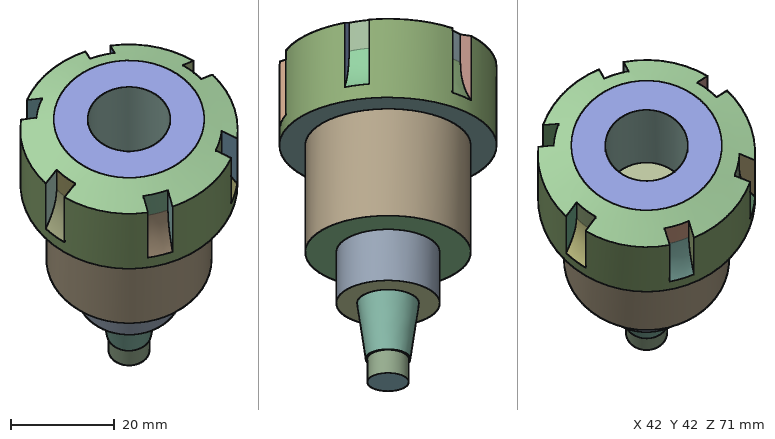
import cadquery as cq
import math

tip_diameter = 8.0
tip_height = 5.0
taper_small_diameter = 8.65
taper_large_diameter = 12.0
taper_height = 12.0
neck_diameter = 20.0
neck_height = 11.0
body_diameter = 32.0
body_height = 23.0

total_height = 71.0
nut_diameter = 42.0
nut_face_diameter = 29.1
nut_bevel_height = 3.05
bore_diameter = 16.0

slot_count = 6
slot_width = 5.0
slot_floor_radius = 17.95
slot_straight_depth = 7.7
slot_end_depth = 17.0
first_slot_angle = 7.5

taper_bottom = tip_height
neck_bottom = taper_bottom + taper_height
body_bottom = neck_bottom + neck_height
nut_bottom = body_bottom + body_height
nut_radius = nut_diameter / 2
bore_depth = total_height - nut_bottom
slot_outer_radius = nut_radius + 0.7


def make_body():
    """Revolve the stepped outline about the Z axis."""
    bevel_bottom = total_height - nut_bevel_height
    outline = [
        (0, 0),
        (tip_diameter / 2, 0),
        (tip_diameter / 2, taper_bottom),
        (taper_small_diameter / 2, taper_bottom),
        (taper_large_diameter / 2, neck_bottom),
        (neck_diameter / 2, neck_bottom),
        (neck_diameter / 2, body_bottom),
        (body_diameter / 2, body_bottom),
        (body_diameter / 2, nut_bottom),
        (nut_radius, nut_bottom),
        (nut_radius, bevel_bottom),
        (nut_face_diameter / 2, total_height),
        (0, total_height),
    ]
    return cq.Workplane("XZ").polyline(outline).close().revolve(360, (0, 0), (0, 1))


def make_bore():
    """Blind bore from the top face, as deep as the nut is tall."""
    return cq.Workplane("XY").workplane(offset=nut_bottom).circle(bore_diameter / 2).extrude(bore_depth)


def make_slot():
    """Slot cutter on the +X side: straight walls, and a floor that curves out at its lower end."""
    curve_start = total_height - slot_straight_depth
    slot_end = total_height - slot_end_depth

    rise = nut_radius - slot_floor_radius
    drop = curve_start - slot_end
    curve_radius = (rise**2 + drop**2) / (2 * rise)
    half_sweep = math.asin(drop / curve_radius) / 2
    curve_middle = (
        slot_floor_radius + curve_radius * (1 - math.cos(half_sweep)),
        curve_start - curve_radius * math.sin(half_sweep),
    )

    ring = (
        cq.Workplane("XZ")
        .moveTo(slot_floor_radius, total_height)
        .lineTo(slot_floor_radius, curve_start)
        .threePointArc(curve_middle, (nut_radius, slot_end))
        .lineTo(slot_outer_radius, slot_end)
        .lineTo(slot_outer_radius, total_height)
        .close()
        .revolve(360, (0, 0), (0, 1))
    )
    walls = (
        cq.Workplane("XY")
        .workplane(offset=slot_end)
        .center(slot_outer_radius / 2, 0)
        .rect(slot_outer_radius, slot_width)
        .extrude(slot_end_depth)
    )
    return ring.intersect(walls)


result = make_body().cut(make_bore())
slot = make_slot()
for index in range(slot_count):
    angle = first_slot_angle + index * 360 / slot_count
    result = result.cut(slot.rotate((0, 0, 0), (0, 0, 1), angle))